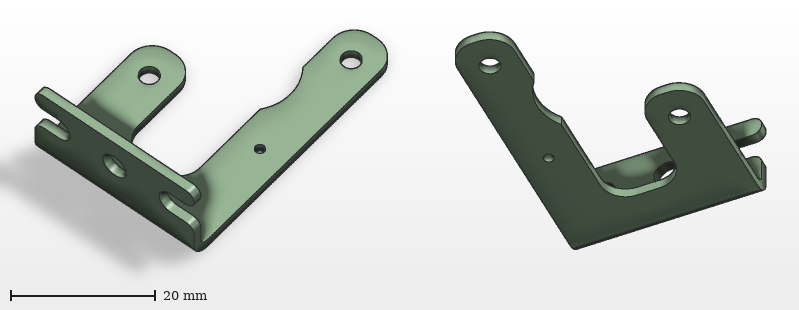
import cadquery as cq
import math

thickness = 1.52
inner_bend_radius = 1.52
outer_bend_radius = inner_bend_radius + thickness
width = 28.45
length = 44.46
height = 14.78
half_width = width / 2

arm_width = 8.64
arm_corner_radius = 3.81
hole_to_arm_end = 5.08
arm_hole_spacing = width - arm_width
arm_hole_diameter = 3.05
pilot_hole_diameter = 1.52
gap_floor_y = 8.0
gap_corner_radius = 3.81
gap_half_width = half_width - arm_width
arm_center_x = arm_hole_spacing / 2
long_hole_y = length - hole_to_arm_end
short_hole_y = long_hole_y - arm_hole_spacing
short_arm_end_y = short_hole_y + hole_to_arm_end

scallop_radius = 7.5
scallop_depth = 1.6
scallop_y = (long_hole_y + short_hole_y) / 2
scallop_half_chord = math.sqrt(scallop_radius**2 - (scallop_radius - scallop_depth) ** 2)

slot_width = 4.2
slot_depth = 6.25
top_strip_height = 3.2
slot_z = height - top_strip_height - slot_width / 2
slot_end_center_x = half_width - slot_depth + slot_width / 2
flange_corner_radius = 1.52
flange_hole_diameter = slot_width


def round_edges(body, edge_midpoints, radius):
    """Fillet the edge nearest to each given edge midpoint."""
    for midpoint in edge_midpoints:
        body = body.edges(cq.selectors.NearestToPointSelector(midpoint)).fillet(radius)
    return body


def make_bent_sheet():
    """L-shaped sheet: base along Y, flange rising at Y = 0."""
    bend = outer_bend_radius
    cos_45 = math.cos(math.radians(45))
    outer_mid = bend - outer_bend_radius * cos_45
    inner_mid = bend - inner_bend_radius * cos_45
    return (
        cq.Workplane("YZ", origin=(-half_width, 0, 0))
        .moveTo(length, 0)
        .lineTo(bend, 0)
        .threePointArc((outer_mid, outer_mid), (0, bend))
        .lineTo(0, height)
        .lineTo(thickness, height)
        .lineTo(thickness, bend)
        .threePointArc((inner_mid, inner_mid), (bend, thickness))
        .lineTo(length, thickness)
        .close()
        .extrude(width)
    )


def make_base_envelope():
    """Vertical prism with the plan outline of the two-armed base."""
    envelope = (
        cq.Workplane("XY")
        .moveTo(-half_width, 0)
        .lineTo(half_width, 0)
        .lineTo(half_width, length)
        .lineTo(gap_half_width, length)
        .lineTo(gap_half_width, scallop_y + scallop_half_chord)
        .threePointArc(
            (gap_half_width + scallop_depth, scallop_y),
            (gap_half_width, scallop_y - scallop_half_chord),
        )
        .lineTo(gap_half_width, gap_floor_y)
        .lineTo(-gap_half_width, gap_floor_y)
        .lineTo(-gap_half_width, short_arm_end_y)
        .lineTo(-half_width, short_arm_end_y)
        .close()
        .extrude(height)
    )
    mid_z = height / 2
    arm_corners = [
        (half_width, length, mid_z),
        (gap_half_width, length, mid_z),
        (-half_width, short_arm_end_y, mid_z),
        (-gap_half_width, short_arm_end_y, mid_z),
    ]
    gap_corners = [(x, gap_floor_y, mid_z) for x in (-gap_half_width, gap_half_width)]
    envelope = round_edges(envelope, arm_corners, arm_corner_radius)
    return round_edges(envelope, gap_corners, gap_corner_radius)


def make_base_holes():
    """Cutters for the arm-end holes and the small pilot hole."""
    arm_holes = (
        cq.Workplane("XY")
        .pushPoints([(-arm_center_x, short_hole_y), (arm_center_x, long_hole_y)])
        .circle(arm_hole_diameter / 2)
        .extrude(thickness)
    )
    pilot_hole = (
        cq.Workplane("XY")
        .center(arm_center_x, short_hole_y)
        .circle(pilot_hole_diameter / 2)
        .extrude(thickness)
    )
    return arm_holes.union(pilot_hole)


def make_flange_slot(side):
    """Cutter for the round-ended slot open to one side (side = -1 or 1)."""
    edge_x = side * half_width
    center_x = side * slot_end_center_x
    inner_x = side * (half_width - slot_depth)
    top_z = slot_z + slot_width / 2
    bottom_z = slot_z - slot_width / 2
    return (
        cq.Workplane("XZ")
        .moveTo(edge_x, top_z)
        .lineTo(center_x, top_z)
        .threePointArc((inner_x, slot_z), (center_x, bottom_z))
        .lineTo(edge_x, bottom_z)
        .close()
        .extrude(-thickness)
    )


def cut_flange(body):
    """Cut the central hole, the side slots and the rounded corners."""
    hole = (
        cq.Workplane("XZ")
        .center(0, slot_z)
        .circle(flange_hole_diameter / 2)
        .extrude(-thickness)
    )
    body = body.cut(hole)
    corner_heights = [height, slot_z + slot_width / 2, slot_z - slot_width / 2]
    for side in (-1, 1):
        body = body.cut(make_flange_slot(side))
        corners = [(side * half_width, thickness / 2, z) for z in corner_heights]
        body = round_edges(body, corners, flange_corner_radius)
    return body


bracket = make_bent_sheet().intersect(make_base_envelope())
bracket = bracket.cut(make_base_holes())
result = cut_flange(bracket)